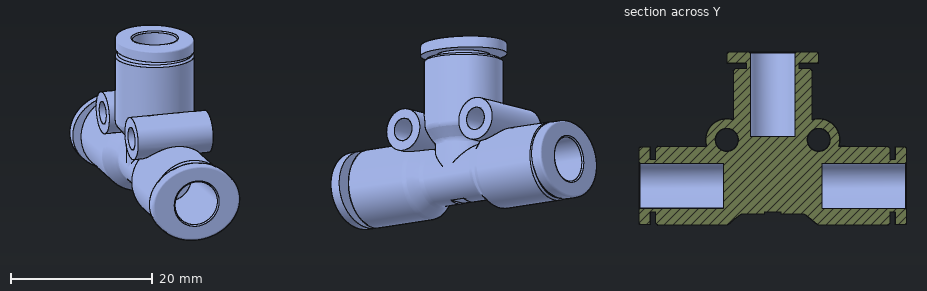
import cadquery as cq


branch_length = 18.95
cap_thickness = 1.65
body_end = 16.6
cone_outer = 6.4
cone_inner = 4.47

body_radius = 5.6
waist_radius = 4.0
neck_radius = 3.75
cap_major = 13.0
cap_minor = 11.0
bore_radius = 3.15

body_chamfer = 0.3
cone_fillet = 1.0
cap_fillet = 0.3
bore_chamfer = 0.2

neck_overlap = 0.3

corner_margin = 0.3

bore_floor = 7.0

tube_offset = 6.5
tube_radius = 3.0
tube_hole_radius = 1.6
tube_length = 2 * body_radius

web_thickness = 1.5

notch_width = 2.3
notch_depth = 0.28


def make_body():
    """Waist, cone and body turned about Z, with the cone corners rounded."""
    body = (
        cq.Workplane("XZ")
        .moveTo(0, 0)
        .lineTo(waist_radius, 0)
        .lineTo(waist_radius, cone_inner)
        .lineTo(body_radius, cone_outer)
        .lineTo(body_radius, body_end)
        .lineTo(0, body_end)
        .close()
        .revolve(360, (0, 0, 0), (0, 1, 0))
    )
    body = body.faces(">Z").chamfer(body_chamfer)
    cone_edges = cq.selectors.BoxSelector(
        (-cap_major, -cap_major, cone_inner - corner_margin),
        (cap_major, cap_major, cone_outer + corner_margin),
    )
    return body.edges(cone_edges).fillet(cone_fillet)


def make_release_sleeve():
    """Round neck carrying an oval cap whose long axis lies along Y."""
    cap_base = branch_length - cap_thickness
    neck = (
        cq.Workplane("XY")
        .workplane(offset=body_end - neck_overlap)
        .circle(neck_radius)
        .extrude(cap_base - body_end + 2 * neck_overlap)
    )
    cap = (
        cq.Workplane("XY")
        .workplane(offset=cap_base)
        .ellipse(cap_minor / 2, cap_major / 2)
        .extrude(cap_thickness)
        .faces(">Z")
        .edges()
        .fillet(cap_fillet)
    )
    return neck.union(cap)


def make_bore():
    """Blind bore with a chamfered mouth, as a solid to subtract."""
    mouth_radius = bore_radius + bore_chamfer
    return (
        cq.Workplane("XZ")
        .moveTo(0, bore_floor)
        .lineTo(bore_radius, bore_floor)
        .lineTo(bore_radius, branch_length - bore_chamfer)
        .lineTo(mouth_radius, branch_length)
        .lineTo(0, branch_length)
        .close()
        .revolve(360, (0, 0, 0), (0, 1, 0))
    )


def make_branch():
    return make_body().union(make_release_sleeve()).cut(make_bore())


def make_rods(radius):
    """Pair of rods along Y, one in each corner of the tee."""
    return (
        cq.Workplane("XZ")
        .workplane(offset=-tube_length / 2)
        .pushPoints([(-tube_offset, tube_offset), (tube_offset, tube_offset)])
        .circle(radius)
        .extrude(tube_length)
    )


def make_web():
    """Thin plate closing the gaps between the waist and the tubes."""
    return cq.Workplane("XY").box(
        2 * tube_offset, web_thickness, tube_offset, centered=(True, True, False)
    )


def make_notch():
    """Block that cuts straight across the underside of the waist along Y."""
    return (
        cq.Workplane("XY")
        .workplane(offset=-waist_radius)
        .rect(notch_width, 2 * waist_radius)
        .extrude(notch_depth)
    )


branch = make_branch()
upper_branch = branch.rotate((0, 0, 0), (0, 0, 1), 90)
tee = upper_branch
for turn in (-90, 90):
    tee = tee.union(branch.rotate((0, 0, 0), (0, 1, 0), turn))

tee = tee.union(make_web())
tee = tee.union(make_rods(tube_radius))
tee = tee.cut(make_rods(tube_hole_radius))
result = tee.cut(make_notch())